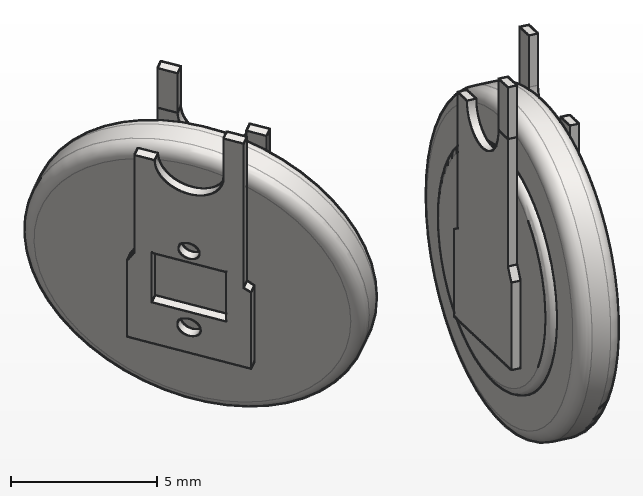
import cadquery as cq

cell_radius = 6.25
cell_thickness = 1.7
cell_edge_radius = 0.5
cap_radius = 4.5
cap_height = 0.3
back_face = cell_thickness + cap_height

tab_thickness = 0.35
narrow_half_width = 1.98
wide_half_width = 2.25
left_shoulder_top = 1.05
right_shoulder_top = 0.7
shoulder_bottom = 0.55
front_tab_bottom = -3.27
back_tab_bottom = -2.8
tab_top = 7.92

notch_radius = 1.25
notch_center = 5.94

window_width = 2.7
window_height = 2.48
window_center = 0.01
upper_hole_radius = 0.38
upper_hole_center = 1.83
lower_hole_radius = 0.43
lower_hole_center = -2.0


def plane_at(y):
    """XZ plane at depth y whose extrusions run toward +Y."""
    return cq.Workplane("XZ", origin=(0, y, 0))


def make_cell():
    """Round can with rounded rims and a smaller raised cap at the back."""
    can = plane_at(0).circle(cell_radius).extrude(-cell_thickness)
    can = can.edges("%CIRCLE").fillet(cell_edge_radius)
    cap = (
        cq.Workplane("XY")
        .moveTo(0, cell_thickness)
        .lineTo(cap_radius, cell_thickness)
        .radiusArc((cap_radius - cap_height, back_face), -cap_height)
        .lineTo(0, back_face)
        .close()
        .revolve(360, (0, 0, 0), (0, 1, 0))
    )
    return can.union(cap)


def make_tab(y, bottom):
    """Stepped plate with a round notch, ending in a stub on both sides of it."""
    return (
        plane_at(y)
        .moveTo(-wide_half_width, bottom)
        .lineTo(wide_half_width, bottom)
        .lineTo(wide_half_width, shoulder_bottom)
        .lineTo(narrow_half_width, right_shoulder_top)
        .lineTo(narrow_half_width, notch_center)
        .lineTo(notch_radius, notch_center)
        .threePointArc((0, notch_center - notch_radius), (-notch_radius, notch_center))
        .lineTo(-narrow_half_width, notch_center)
        .lineTo(-narrow_half_width, left_shoulder_top)
        .lineTo(-wide_half_width, shoulder_bottom)
        .close()
        .extrude(-tab_thickness)
    )


def make_prong(left, y):
    """Straight prong that stands on a tab's stub, from its left edge."""
    prong_width = narrow_half_width - notch_radius
    prong_length = tab_top - notch_center
    prong = cq.Workplane("XY").box(prong_width, tab_thickness, prong_length, centered=False)
    return prong.translate((left, y, notch_center))


def make_front_tab():
    """Front tab with its right prong, rectangular window and two round holes."""
    front = -tab_thickness
    window = (
        plane_at(front)
        .center(0, window_center)
        .rect(window_width, window_height)
        .extrude(-tab_thickness)
    )
    tab = make_tab(front, front_tab_bottom).union(make_prong(notch_radius, front))
    tab = tab.cut(window)
    for center, radius in (
        (upper_hole_center, upper_hole_radius),
        (lower_hole_center, lower_hole_radius),
    ):
        hole = plane_at(front).center(0, center).circle(radius).extrude(-tab_thickness)
        tab = tab.cut(hole)
    return tab


front_tab = make_front_tab()
back_tab = make_tab(back_face, back_tab_bottom)
tabbed_cell = make_cell().union(front_tab).union(back_tab)

prong_tip = make_prong(-narrow_half_width, back_face)

result = cq.Compound.makeCompound([*tabbed_cell.solids().vals(), *prong_tip.vals()])